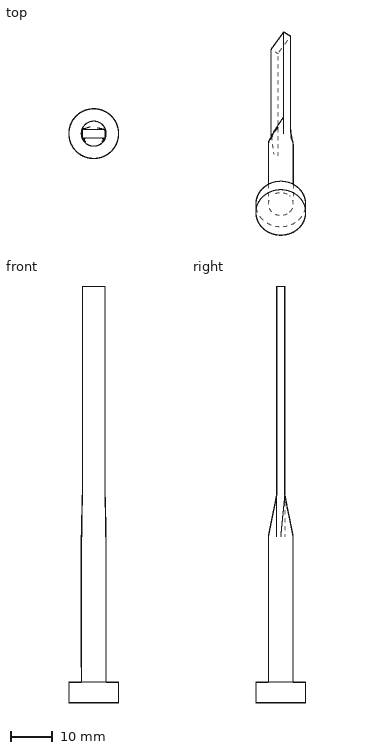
import cadquery as cq

total_length = 100.0
blade_length = 50.0
transition_length = 10.0
head_diameter = 12.0
head_height = 5.0
shank_diameter = 6.0
blade_width = 5.5
blade_thickness = 2.0

blade_bottom = total_length - blade_length
shank_top = blade_bottom - transition_length


def make_head():
    return cq.Workplane("XY").circle(head_diameter / 2).extrude(head_height)


def make_shank():
    return cq.Workplane("XY").circle(shank_diameter / 2).extrude(shank_top)


def make_transition():
    """Loft from the round shank to the rectangular blade section."""
    return (
        cq.Workplane("XY", origin=(0, 0, shank_top))
        .circle(shank_diameter / 2)
        .workplane(offset=transition_length)
        .rect(blade_width, blade_thickness)
        .loft(ruled=True)
    )


def make_blade():
    return (
        cq.Workplane("XY", origin=(0, 0, blade_bottom))
        .rect(blade_width, blade_thickness)
        .extrude(blade_length)
    )


result = make_head().union(make_shank()).union(make_transition()).union(make_blade())